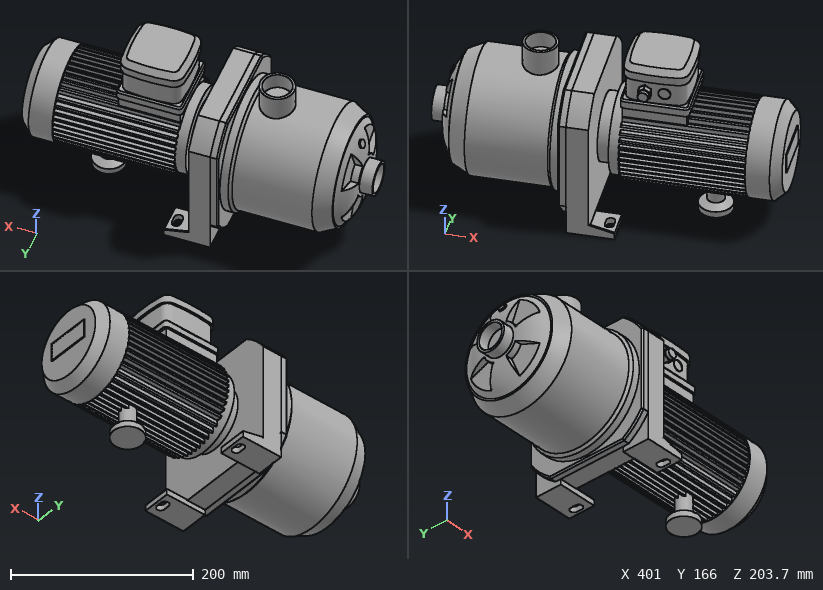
import cadquery as cq
import math


DOME_NOSE_X = 15.0
POCKET_FLOOR_X = 24.0
DOME_END_X = 29.5
BARREL_X = 49.7
FLARE_X = 143.0
RIM_X = 146.5
COVER_X = 156.0
BRACKET_X = 165.5
LANTERN_X = 191.0
MOTOR_FLANGE_X = 206.0
FINS_X = 218.0
FAN_COVER_X = 360.5
FAN_CHAMFER_X = 388.0
FAN_END_X = 399.5
LENGTH = 401.0

BARREL_R = 149.0 / 2
RIM_R = 156.5 / 2
SHOULDER_R = 64.5
DOME_R = 62.0
DOME_MIDDLE = (19.0, 45.5)
HUB_R = 25.0
POCKET_COUNT = 4
POCKET_ANGLE = 45.0
PORT_D = 40.0
PORT_BORE_D = 33.5
INLET_BORE_DEPTH = 15.0
OUTLET_X = 118.3
OUTLET_TOP_Z = 103.0
OUTLET_BORE_DEPTH = 20.0

VENT_D = 10.0
VENT_Z = 48.5
VENT_FACE_X = 18.5
VENT_TILT = 25.0
VENT_DEPTH = 6.0

PLATE_W = 166.0
PLATE_CORNER_R = 99.0
COVER_CHAMFER = 2.0
BASE_Z = -90.2
FOOT_INNER_Y = 46.0
FOOT_END_X = 220.0
FOOT_THICKNESS = 8.0
GUSSET_Z = -75.5
GUSSET_T = 2.0
SLOT_X = 211.0
SLOT_Y = 64.0
SLOT_W = 10.0
SLOT_L = 17.2

LANTERN_R = 79.5 / 2
CORE_R = 103.5 / 2
FAN_COVER_R = 113.5 / 2
FAN_END_R = 45.7
FIN_T = 2.0
FIN_PITCH = 7.2
FINS_EACH_WAY = 5
NAMEPLATE_W = 55.5
NAMEPLATE_H = 24.0
NAMEPLATE_Z = 3.2

BOX_X = 254.5
PAD_W = 72.5
BOX_BASE_Z = 57.0
BOX_BASE_W = 77.5
BOX_BASE_CORNER_R = 5.0
BOX_BASE_CHAMFER = 2.0
BOX_Z = 67.8
BOX_W = 72.5
LID_Z = 96.5
LID_W = 77.5
LID_TOP_Z = 113.5
LID_CHAMFER = 7.0
SIDE_HALF_SPAN = 25.5
SIDE_BULGE = 1.5

ENTRY_Z = 82.0
ENTRY_OFFSET_X = 11.0
ENTRY_D = 13.5
BLANK_PROUD = 0.5
HEX_END_Y = -43.0
GLAND_END_Y = -47.7
COLLAR_D = 12.0

SUPPORT_X = 315.0
STEM_D = 20.0
SUPPORT_D = 39.5
STEM_TOP_Z = -50.0
CONE_TOP_Z = -77.0
CONE_BOTTOM_Z = -82.0


def x_cylinder(radius, start, end):
    return cq.Workplane("YZ", origin=(start, 0, 0)).circle(radius).extrude(end - start)


def x_revolve(profile):
    """Turn an X-radius profile about the X axis."""
    return profile.close().revolve(360, (0, 0, 0), (1, 0, 0))


def box_between(x, y, z):
    """Box between a (low, high) pair along each axis."""
    return cq.Workplane("XY").box(
        x[1] - x[0], y[1] - y[0], z[1] - z[0], centered=False
    ).translate((x[0], y[0], z[0]))


def make_dome_pocket():
    """Sector-shaped recess in the dome, centred on +Y and outside the hub."""
    half_angle = math.radians(POCKET_ANGLE / 2)
    reach = 2 * DOME_R
    side_y = reach * math.cos(half_angle)
    side_z = reach * math.sin(half_angle)
    sector = (
        cq.Workplane("YZ")
        .polyline([(0, 0), (side_y, -side_z), (side_y, side_z)])
        .close()
        .extrude(POCKET_FLOOR_X)
    )
    return sector.cut(x_cylinder(HUB_R, 0, POCKET_FLOOR_X))


def make_casing():
    casing = x_revolve(
        cq.Workplane("XY")
        .moveTo(DOME_NOSE_X, 0)
        .lineTo(DOME_NOSE_X, HUB_R)
        .threePointArc(DOME_MIDDLE, (DOME_END_X, DOME_R))
        .lineTo(DOME_END_X, SHOULDER_R)
        .lineTo(BARREL_X, BARREL_R)
        .lineTo(FLARE_X, BARREL_R)
        .lineTo(RIM_X, RIM_R)
        .lineTo(COVER_X, RIM_R)
        .lineTo(COVER_X, 0)
    )
    pocket = make_dome_pocket()
    for i in range(POCKET_COUNT):
        angle = 360 / POCKET_COUNT * (i + 0.5)
        casing = casing.cut(pocket.rotate((0, 0, 0), (1, 0, 0), angle))

    inlet = x_cylinder(PORT_D / 2, 0, DOME_NOSE_X)
    outlet = cq.Workplane("XY").center(OUTLET_X, 0).circle(PORT_D / 2).extrude(OUTLET_TOP_Z)
    inlet_bore = x_cylinder(PORT_BORE_D / 2, 0, INLET_BORE_DEPTH)
    outlet_bore = (
        cq.Workplane("XY", origin=(OUTLET_X, 0, OUTLET_TOP_Z))
        .circle(PORT_BORE_D / 2)
        .extrude(-OUTLET_BORE_DEPTH)
    )
    casing = casing.union(inlet).union(outlet).cut(inlet_bore).cut(outlet_bore)
    return casing.cut(make_vent_plug())


def make_vent_plug():
    """Round plug set square to the sloping dome."""
    return (
        x_cylinder(VENT_D / 2, 0, VENT_DEPTH)
        .rotate((0, 0, 0), (0, 1, 0), VENT_TILT)
        .translate((VENT_FACE_X, 0, VENT_Z))
    )


def rounded_plate(start, end):
    """Square plate with its corners turned to a circle about the shaft axis."""
    square = cq.Workplane("YZ", origin=(start, 0, 0)).rect(PLATE_W, PLATE_W).extrude(end - start)
    return square.intersect(x_cylinder(PLATE_CORNER_R, start, end))


def make_cover_plate():
    return rounded_plate(COVER_X, BRACKET_X).faces("<X").chamfer(COVER_CHAMFER)


def make_foot():
    """Foot at the +Y side of the bracket: leg, slotted toe and outer gusset."""
    outer_y = PLATE_W / 2
    toe_z = BASE_Z + FOOT_THICKNESS
    width = (FOOT_INNER_Y, outer_y)
    leg = box_between((BRACKET_X, LANTERN_X), width, (BASE_Z, 0))
    toe = box_between((LANTERN_X, FOOT_END_X), width, (BASE_Z, toe_z))
    gusset = (
        cq.Workplane("XZ", origin=(0, outer_y, 0))
        .polyline([(LANTERN_X, toe_z), (FOOT_END_X, toe_z), (LANTERN_X, GUSSET_Z)])
        .close()
        .extrude(GUSSET_T)
    )
    slot = (
        cq.Workplane("XY", origin=(SLOT_X, SLOT_Y, BASE_Z))
        .slot2D(SLOT_L, SLOT_W, 90)
        .extrude(FOOT_THICKNESS)
    )
    return leg.union(toe).union(gusset).cut(slot)


def make_bracket():
    foot = make_foot()
    return rounded_plate(BRACKET_X, LANTERN_X).union(foot).union(foot.mirror("XZ"))


def make_fins():
    """Parallel upright and level fins trimmed to the fan cover diameter."""
    length = FAN_COVER_X - FINS_X
    middle_x = (FINS_X + FAN_COVER_X) / 2
    span = 2 * FAN_COVER_R
    fins = x_cylinder(CORE_R, FINS_X, FAN_COVER_X)
    for i in range(-FINS_EACH_WAY, FINS_EACH_WAY + 1):
        offset = i * FIN_PITCH
        upright = cq.Workplane("XY").box(length, FIN_T, span).translate((middle_x, offset, 0))
        level = cq.Workplane("XY").box(length, span, FIN_T).translate((middle_x, 0, offset))
        fins = fins.union(upright).union(level)
    return fins.intersect(x_cylinder(FAN_COVER_R, FINS_X, FAN_COVER_X))


def make_motor():
    lantern = x_cylinder(LANTERN_R, LANTERN_X, MOTOR_FLANGE_X)
    flange = x_cylinder(CORE_R, MOTOR_FLANGE_X, FINS_X)
    half_pad = PAD_W / 2
    pad = box_between((FINS_X, FINS_X + PAD_W), (-half_pad, half_pad), (0, BOX_BASE_Z))
    motor = lantern.union(flange).union(make_fins()).union(pad)
    return motor.cut(support_stem())


def make_fan_cover():
    cover = x_revolve(
        cq.Workplane("XY")
        .moveTo(FAN_COVER_X, 0)
        .lineTo(FAN_COVER_X, FAN_COVER_R)
        .lineTo(FAN_CHAMFER_X, FAN_COVER_R)
        .lineTo(FAN_END_X, FAN_END_R)
        .lineTo(FAN_END_X, 0)
    )
    nameplate = (
        cq.Workplane("YZ", origin=(FAN_END_X, 0, NAMEPLATE_Z))
        .rect(NAMEPLATE_W, NAMEPLATE_H)
        .extrude(LENGTH - FAN_END_X)
    )
    return cover.union(nameplate)


def make_box_base():
    return (
        cq.Workplane("XY", origin=(BOX_X, 0, BOX_BASE_Z))
        .rect(BOX_BASE_W, BOX_BASE_W)
        .extrude(BOX_Z - BOX_BASE_Z)
        .edges("|Z")
        .fillet(BOX_BASE_CORNER_R)
        .faces(">Z")
        .chamfer(BOX_BASE_CHAMFER)
    )


def turned(x, y, degrees):
    """Point (x, y) turned about the origin."""
    angle = math.radians(degrees)
    return (
        x * math.cos(angle) - y * math.sin(angle),
        x * math.sin(angle) + y * math.cos(angle),
    )


def bulged_square(width, bottom, top):
    """Prism with four slightly bulged sides joined smoothly by round corners."""
    side = width / 2
    end = side - SIDE_BULGE
    span = SIDE_HALF_SPAN
    side_sweep = 4 * math.atan(SIDE_BULGE / span)
    corner_sweep = math.pi / 2 - side_sweep
    corner = (span + end) / 2 + (end - span) / 2 * math.tan(corner_sweep / 4)
    outline = cq.Workplane("XY", origin=(BOX_X, 0, bottom)).moveTo(end, -span)
    for i in range(4):
        angle = 90 * i
        outline = outline.threePointArc(turned(side, 0, angle), turned(end, span, angle))
        outline = outline.threePointArc(turned(corner, corner, angle), turned(span, end, angle))
    return outline.close().extrude(top - bottom)


def entry_plane(x, y):
    """Plane facing -Y, centred on a cable entry."""
    return cq.Workplane("XZ", origin=(x, y, ENTRY_Z))


def make_terminal_box():
    side_y = -BOX_W / 2
    body = bulged_square(BOX_W, BOX_Z, LID_Z)
    lid = bulged_square(LID_W, LID_Z, LID_TOP_Z).faces(">Z").chamfer(LID_CHAMFER)
    blank = entry_plane(BOX_X + ENTRY_OFFSET_X, 0).circle(ENTRY_D / 2).extrude(BLANK_PROUD - side_y)
    return body.union(lid).union(blank).cut(make_gland())


def make_gland():
    """Hexagonal cable gland with a round collar at its outer end."""
    seat_y = -BOX_W / 2 + SIDE_BULGE
    gland_x = BOX_X - ENTRY_OFFSET_X
    hexagon = (
        entry_plane(gland_x, seat_y)
        .polygon(6, ENTRY_D, circumscribed=True)
        .extrude(seat_y - HEX_END_Y)
    )
    collar = (
        entry_plane(gland_x, HEX_END_Y)
        .circle(COLLAR_D / 2)
        .extrude(HEX_END_Y - GLAND_END_Y)
    )
    return hexagon.union(collar)


def support_stem():
    return (
        cq.Workplane("XY", origin=(SUPPORT_X, 0, CONE_TOP_Z))
        .circle(STEM_D / 2)
        .extrude(STEM_TOP_Z - CONE_TOP_Z)
    )


def make_support_foot():
    pad = (
        cq.Workplane("XZ")
        .moveTo(0, BASE_Z)
        .lineTo(SUPPORT_D / 2, BASE_Z)
        .lineTo(SUPPORT_D / 2, CONE_BOTTOM_Z)
        .lineTo(STEM_D / 2, CONE_TOP_Z)
        .lineTo(0, CONE_TOP_Z)
        .close()
        .revolve(360, (0, 0, 0), (0, 1, 0))
        .translate((SUPPORT_X, 0, 0))
    )
    return pad.union(support_stem())


casing = make_casing()
vent_plug = make_vent_plug()
cover_plate = make_cover_plate()
bracket = make_bracket()
motor = make_motor()
fan_cover = make_fan_cover()
box_base = make_box_base()
terminal_box = make_terminal_box()
gland = make_gland()
support_foot = make_support_foot()

result = cq.Compound.makeCompound(
    [
        casing.val(),
        vent_plug.val(),
        cover_plate.val(),
        bracket.val(),
        motor.val(),
        fan_cover.val(),
        box_base.val(),
        terminal_box.val(),
        gland.val(),
        support_foot.val(),
    ]
)